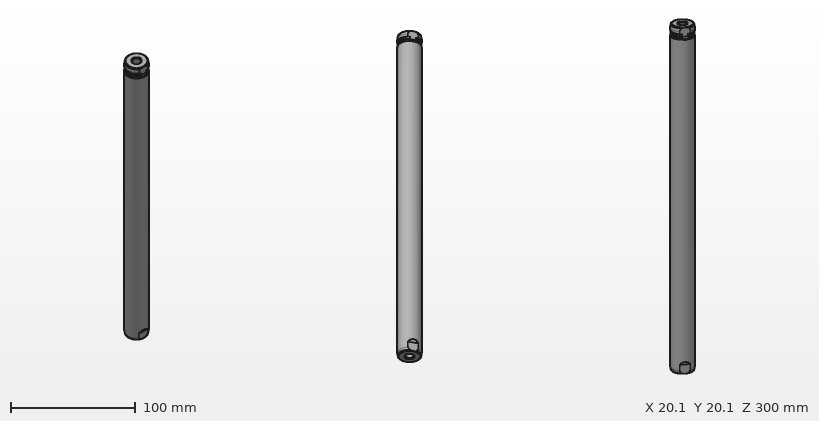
import cadquery as cq

length = 300.0
body_radius = 10.05

taper_height = 3.3
taper_radius = 9.5
chamfer_height = 1.0
face_radius = 8.7

neck_start = 6.0
floor_end = 7.8
collar_start = 8.7
neck_end = 10.5
floor_radius = 9.3
collar_radius = 9.75
shoulder_height = 0.3

flat_offset = 9.0
flat_length = 8.0
flat_runout = 2.7

bore_radius = 3.3
countersink_radius = 4.2
countersink_depth = countersink_radius - bore_radius


def make_rod():
    """Revolve the rod outline, with its tapered ends and neck, about Z."""
    outline = [
        (0, 0),
        (face_radius, 0),
        (taper_radius, chamfer_height),
        (body_radius, taper_height),
        (body_radius, length - neck_end),
        (collar_radius, length - neck_end + shoulder_height),
        (collar_radius, length - collar_start),
        (floor_radius, length - floor_end),
        (floor_radius, length - neck_start),
        (body_radius, length - neck_start),
        (body_radius, length - taper_height),
        (taper_radius, length - chamfer_height),
        (face_radius, length),
        (0, length),
    ]
    return cq.Workplane("XZ").polyline(outline).close().revolve(360, (0, 0), (0, 1))


def make_bottom_flat():
    """Cutter for the bottom +X flat, ending in a sloped run-out."""
    profile = [
        (flat_offset, 0),
        (flat_offset, flat_length),
        (body_radius, flat_length + flat_runout),
        (2 * body_radius, flat_length + flat_runout),
        (2 * body_radius, 0),
    ]
    return cq.Workplane("XZ").polyline(profile).close().extrude(body_radius, both=True)


def make_bore():
    """Through hole with a countersink at each end."""
    outline = [
        (0, 0),
        (countersink_radius, 0),
        (bore_radius, countersink_depth),
        (bore_radius, length - countersink_depth),
        (countersink_radius, length),
        (0, length),
    ]
    return cq.Workplane("XZ").polyline(outline).close().revolve(360, (0, 0), (0, 1))


result = make_rod()

bottom_flat = make_bottom_flat()
top_flat = bottom_flat.mirror("XY", (0, 0, length / 2))
for flat in (bottom_flat, top_flat):
    result = result.cut(flat).cut(flat.mirror("YZ"))

result = result.cut(make_bore())